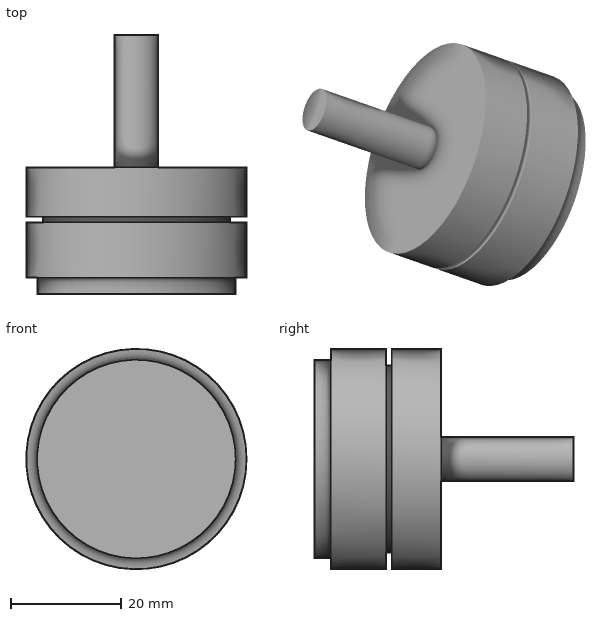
import cadquery as cq

body_diameter = 40.0
face_diameter = 36.0
groove_diameter = 34.0
shaft_diameter = 8.0

face_length = 3.0
front_body_length = 10.0
groove_width = 1.0
rear_body_length = 9.0
shaft_length = 24.0

sections = [
    (face_diameter, face_length),
    (body_diameter, front_body_length),
    (groove_diameter, groove_width),
    (body_diameter, rear_body_length),
    (shaft_diameter, shaft_length),
]


def cylinder_along_y(diameter, start, length):
    """Solid cylinder on the Y axis, running from start towards +Y."""
    base_plane = cq.Workplane("XZ", origin=(0, start, 0))
    return base_plane.circle(diameter / 2).extrude(-length)


def stack_sections(section_list):
    """Join the cylinders end to end, beginning with the front face at Y = 0."""
    stack = cq.Workplane("XZ")
    position = 0.0
    for diameter, length in section_list:
        stack = stack.add(cylinder_along_y(diameter, position, length))
        position += length
    return stack.combine()


result = stack_sections(sections)